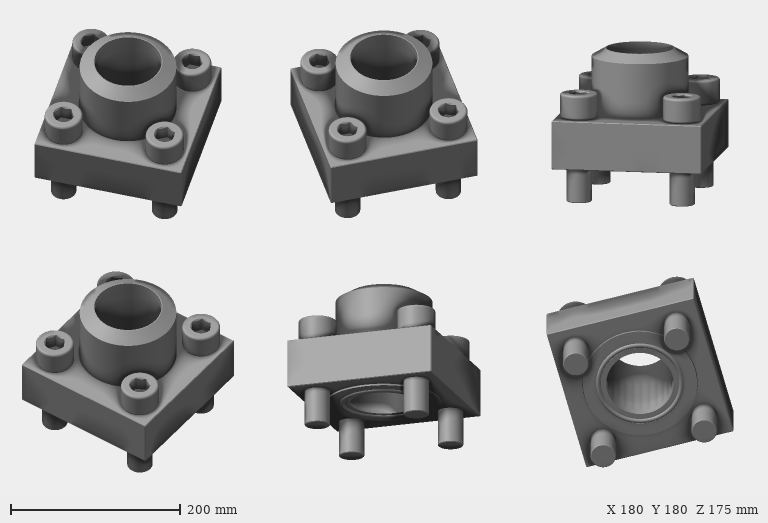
import cadquery as cq
import math

plate_side = 180.0
plate_bottom = 42.1
plate_top = 100.0
plate_chamfer = 0.9

pipe_diameter = 114.3
pipe_top = 175.0
pipe_bottom = 40.3
bevel_height = 9.4
bevel_top_diameter = 81.5
collar_diameter = 135.0
collar_height = 18.0
bore_top_diameter = 79.4
bore_straight_depth = 37.3
bore_bottom_diameter = 79.5

pipe_hole_diameter = 115.0
pipe_hole_chamfer = 1.0
collar_recess_diameter = 136.0

ring_outer_diameter = 104.2
ring_inner_diameter = 92.5
ring_projection = 1.8

bolt_count = 4
hexagon_sides = 6
bolt_spacing = 123.7
shank_diameter = 30.0
shank_end_chamfer = 0.9
bolt_hole_diameter = 31.0
head_diameter = 45.0
head_height = 30.0
head_fillet = 3.0
socket_across_flats = 22.0
socket_depth = 18.0
socket_mouth_angle = 45.0

plate_thickness = plate_top - plate_bottom
collar_top = pipe_bottom + collar_height
ring_section_radius = (ring_outer_diameter - ring_inner_diameter) / 4
ring_center_radius = (ring_outer_diameter + ring_inner_diameter) / 4
ring_center_z = pipe_bottom - ring_projection + ring_section_radius
groove_depth = 2 * ring_section_radius - ring_projection
socket_across_corners = socket_across_flats / math.cos(math.pi / hexagon_sides)


def cylinder(diameter, bottom, top):
    """Upright cylinder on the Z axis between two heights."""
    return cq.Workplane("XY", origin=(0, 0, bottom)).circle(diameter / 2).extrude(top - bottom)


def make_plate():
    """Square clamping plate with a stepped centre hole and four bolt holes."""
    plate = (
        cq.Workplane("XY", origin=(0, 0, plate_bottom))
        .rect(plate_side, plate_side)
        .extrude(plate_thickness)
        .edges()
        .chamfer(plate_chamfer)
    )
    plate = plate.cut(cylinder(pipe_hole_diameter, plate_bottom, plate_top))
    plate = plate.cut(cylinder(collar_recess_diameter, plate_bottom, collar_top))
    plate = plate.faces(">Z").edges("%CIRCLE").chamfer(pipe_hole_chamfer)
    bolt_holes = (
        cq.Workplane("XY", origin=(0, 0, plate_bottom))
        .rect(bolt_spacing, bolt_spacing, forConstruction=True)
        .vertices()
        .circle(bolt_hole_diameter / 2)
        .extrude(plate_thickness)
    )
    return plate.cut(bolt_holes)


def make_pipe():
    """Revolved weld neck: bevelled top, collar at the bottom, bore and ring groove."""
    profile = [
        (bore_bottom_diameter / 2, pipe_bottom),
        (collar_diameter / 2, pipe_bottom),
        (collar_diameter / 2, collar_top),
        (pipe_diameter / 2, collar_top),
        (pipe_diameter / 2, pipe_top - bevel_height),
        (bevel_top_diameter / 2, pipe_top),
        (bore_top_diameter / 2, pipe_top),
        (bore_top_diameter / 2, pipe_top - bore_straight_depth),
    ]
    pipe = cq.Workplane("XZ").polyline(profile).close().revolve(360, (0, 0), (0, 1))
    groove_top = pipe_bottom + groove_depth
    groove = cylinder(ring_outer_diameter, pipe_bottom, groove_top).cut(
        cylinder(ring_inner_diameter, pipe_bottom, groove_top)
    )
    return pipe.cut(groove)


def make_seal_ring():
    """Round-section seal ring that stands out slightly below the collar."""
    return (
        cq.Workplane("XZ")
        .center(ring_center_radius, ring_center_z)
        .circle(ring_section_radius)
        .revolve(360, (-ring_center_radius, 0), (-ring_center_radius, 1))
    )


def make_bolt():
    """Socket head screw on the Z axis, its shank end at Z = 0."""
    head_top = plate_top + head_height
    head = cylinder(head_diameter, plate_top, head_top).edges().fillet(head_fillet)
    shank = cylinder(shank_diameter, 0, plate_top + head_fillet)
    shank = shank.faces("<Z").chamfer(shank_end_chamfer)
    socket = (
        cq.Workplane("XY", origin=(0, 0, head_top))
        .polygon(hexagon_sides, socket_across_corners)
        .extrude(-socket_depth)
    )
    mouth_radius = socket_across_corners / 2
    mouth_depth = mouth_radius * math.tan(math.radians(socket_mouth_angle))
    mouth = cq.Workplane(
        cq.Solid.makeCone(mouth_radius, 0, mouth_depth, pnt=(0, 0, head_top), dir=(0, 0, -1))
    )
    return head.union(shank).cut(socket).cut(mouth)


def make_bolts():
    """Copies of the bolt turned about the plate axis, one at each corner."""
    first_bolt = make_bolt().translate((bolt_spacing / 2, bolt_spacing / 2, 0)).val()
    step = 360 / bolt_count
    return [first_bolt.rotate((0, 0, 0), (0, 0, 1), step * i) for i in range(bolt_count)]


plate = make_plate()
pipe = make_pipe()
seal_ring = make_seal_ring()
bolts = make_bolts()

result = cq.Compound.makeCompound([plate.val(), pipe.val(), seal_ring.val(), *bolts])